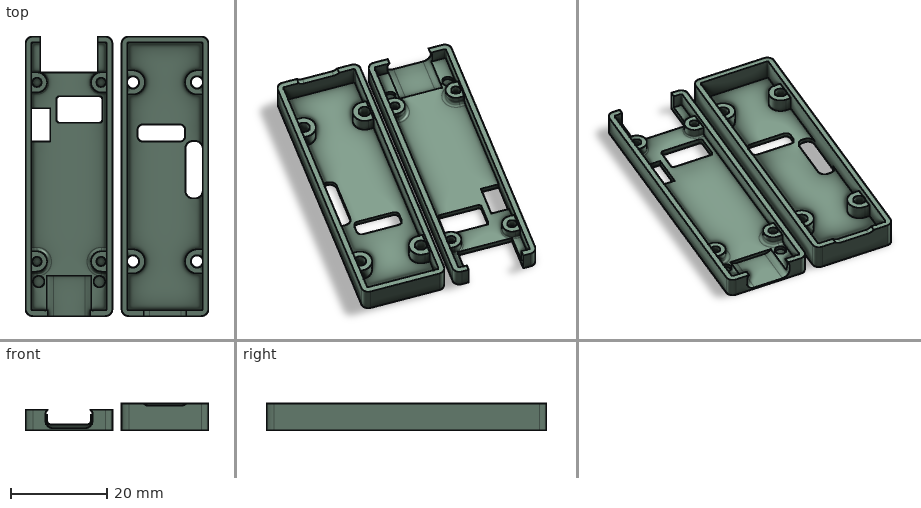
import cadquery as cq

LENGTH = 58.2
WIDTH = 18.1
PITCH = 19.95
WALL = 1.2
OUTER_RADIUS = 1.5
INNER_RADIUS = 0.3
BASE_HEIGHT = 4.3
LID_HEIGHT = 5.6
BASE_FLOOR = 1.2
LID_FLOOR = 1.0

BOSS_INSET = 2.4
BOSS_REAR_Y = 48.65
BOSS_FRONT_Y = 11.4

BASE_BOSS_RADIUS = 2.1
BASE_BOSS_TOP = 3.2
BASE_SCREW_DIAMETER = 1.9
BASE_REAR_FLARE = 0.3
BASE_FRONT_FLARE = 0.9

LID_BOSS_RADIUS = 2.5
LID_BOSS_TOP = 3.95
LID_SCREW_DIAMETER = 2.5

PLUG_WIDTH = 9.85
PLUG_RADIUS = 1.7
PLUG_BOTTOM = 0.4
PLUG_LID_DEPTH = 0.5
PLUG_HEIGHT = BASE_HEIGHT - PLUG_BOTTOM + PLUG_LID_DEPTH
PLUG_CHANNEL_LENGTH = 8.45
PLUG_LEFT = (WIDTH - PLUG_WIDTH) / 2

REAR_NOTCH_INSET = 3.1
REAR_NOTCH_DEPTH = 7.45
SIDE_WINDOW_RIGHT = 5.1
SIDE_WINDOW_FRONT = 36.4
SIDE_WINDOW_REAR = 43.25
MAIN_WINDOW_LEFT = 6.45
MAIN_WINDOW_RIGHT = 15.95
MAIN_WINDOW_FRONT = 40.3
MAIN_WINDOW_REAR = 45.75
MAIN_WINDOW_RADIUS = 0.6
PIN_POCKET_INSET = 2.75
PIN_POCKET_Y = 7.2
PIN_POCKET_DIAMETER = 2.4
PIN_POCKET_DEPTH = 0.8

CROSS_SLOT_LEFT = 3.4
CROSS_SLOT_RIGHT = 13.2
CROSS_SLOT_FRONT = 36.4
CROSS_SLOT_REAR = 39.85
CROSS_SLOT_RADIUS = 1.05
LONG_SLOT_LEFT = 13.3
LONG_SLOT_RIGHT = WIDTH - WALL
LONG_SLOT_FRONT = 24.55
LONG_SLOT_REAR = 36.45
LONG_SLOT_RADIUS = 1.5


def block(left, right, front, rear, bottom, top):
    """Box between the given limits along X, Y and Z."""
    return cq.Workplane().box(
        right - left, rear - front, top - bottom, centered=False
    ).translate((left, front, bottom))


def rounded_block(left, right, front, rear, bottom, top, radius):
    """Box with its four upright edges rounded."""
    return block(left, right, front, rear, bottom, top).edges("|Z").fillet(radius)


def cylinder(x, y, bottom, top, diameter):
    """Upright cylinder."""
    return cq.Workplane(origin=(x, y, bottom)).circle(diameter / 2).extrude(top - bottom)


def tray(height, floor):
    """Open box with rounded corners."""
    outside = rounded_block(0, WIDTH, 0, LENGTH, 0, height, OUTER_RADIUS)
    cavity = rounded_block(WALL, WIDTH - WALL, WALL, LENGTH - WALL, floor, height, INNER_RADIUS)
    return outside.cut(cavity)


def both_sides(inset):
    """X positions at the same distance from the left and right outer sides."""
    return (inset, WIDTH - inset)


def boss_half_profile(radius, top, flare):
    """Half section of a boss, from its axis outwards; a flare is a concave fillet at its foot."""
    profile = cq.Workplane("XZ").lineTo(radius + flare, 0)
    if flare:
        profile = profile.lineTo(radius + flare, BASE_FLOOR)
        profile = profile.radiusArc((radius, BASE_FLOOR + flare), flare)
    return profile.lineTo(radius, top).lineTo(0, top).close()


def boss(x, y, radius, top, flare=0):
    """Round boss on the floor, carried straight on into the nearer side wall."""
    round_part = boss_half_profile(radius, top, flare).revolve(360, (0, 0, 0), (0, 1, 0))
    towards_wall = -1 if x < WIDTH / 2 else 1
    half_web = (
        boss_half_profile(radius, top, flare)
        .extrude(BOSS_INSET)
        .rotate((0, 0, 0), (0, 0, 1), towards_wall * 90)
    )
    web = half_web.union(half_web.mirror("XZ"))
    inside = block(WALL / 2, WIDTH - WALL / 2, 0, LENGTH, 0, top)
    return round_part.union(web).translate((x, y, 0)).intersect(inside)


def plug_opening(depth, bottom):
    """Rounded bar along Y that enters through the front wall."""
    return (
        block(PLUG_LEFT, PLUG_LEFT + PLUG_WIDTH, 0, depth, bottom, bottom + PLUG_HEIGHT)
        .edges("|Y")
        .fillet(PLUG_RADIUS)
    )


def make_base():
    """Shallow half with the blind screw holes, the plug channel and the rear notch."""
    body = tray(BASE_HEIGHT, BASE_FLOOR)
    for x in both_sides(BOSS_INSET):
        for y, flare in ((BOSS_REAR_Y, BASE_REAR_FLARE), (BOSS_FRONT_Y, BASE_FRONT_FLARE)):
            body = body.union(boss(x, y, BASE_BOSS_RADIUS, BASE_BOSS_TOP, flare))
            body = body.cut(cylinder(x, y, BASE_FLOOR, BASE_BOSS_TOP, BASE_SCREW_DIAMETER))
    for x in both_sides(PIN_POCKET_INSET):
        body = body.cut(
            cylinder(x, PIN_POCKET_Y, BASE_FLOOR - PIN_POCKET_DEPTH, BASE_FLOOR, PIN_POCKET_DIAMETER)
        )
    body = body.cut(plug_opening(PLUG_CHANNEL_LENGTH, PLUG_BOTTOM))
    body = body.cut(
        block(REAR_NOTCH_INSET, WIDTH - REAR_NOTCH_INSET, LENGTH - REAR_NOTCH_DEPTH, LENGTH, 0, BASE_HEIGHT)
    )
    body = body.cut(block(WALL, SIDE_WINDOW_RIGHT, SIDE_WINDOW_FRONT, SIDE_WINDOW_REAR, 0, BASE_FLOOR))
    return body.cut(
        rounded_block(
            MAIN_WINDOW_LEFT, MAIN_WINDOW_RIGHT, MAIN_WINDOW_FRONT, MAIN_WINDOW_REAR,
            0, BASE_FLOOR, MAIN_WINDOW_RADIUS,
        )
    )


def make_lid():
    """Deep half with the through screw holes and two slots in its floor."""
    body = tray(LID_HEIGHT, LID_FLOOR)
    for x in both_sides(BOSS_INSET):
        for y in (BOSS_REAR_Y, BOSS_FRONT_Y):
            body = body.union(boss(x, y, LID_BOSS_RADIUS, LID_BOSS_TOP))
            body = body.cut(cylinder(x, y, 0, LID_BOSS_TOP, LID_SCREW_DIAMETER))
    body = body.cut(plug_opening(WALL, LID_HEIGHT - PLUG_LID_DEPTH))
    body = body.cut(
        rounded_block(
            CROSS_SLOT_LEFT, CROSS_SLOT_RIGHT, CROSS_SLOT_FRONT, CROSS_SLOT_REAR,
            0, LID_FLOOR, CROSS_SLOT_RADIUS,
        )
    )
    return body.cut(
        rounded_block(
            LONG_SLOT_LEFT, LONG_SLOT_RIGHT, LONG_SLOT_FRONT, LONG_SLOT_REAR,
            0, LID_FLOOR, LONG_SLOT_RADIUS,
        )
    )


base = make_base()
lid = make_lid().translate((PITCH, 0, 0))

result = cq.Compound.makeCompound([base.val(), lid.val()])